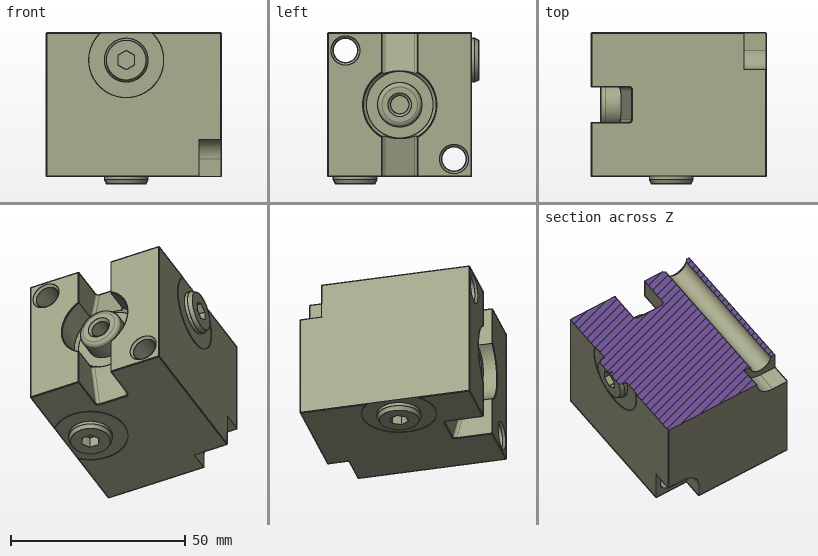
import cadquery as cq
import math

LENGTH = 50.3
SIDE = 41.3
EDGE_CHAMFER = 0.2
CENTER = SIDE / 2

HOLE_INSET = 5.1
HOLE_RADIUS = 3.45
HOLE_CHAMFER = 0.7

POCKET_LENGTH = 6.4
POCKET_RADIUS = 5.55
POCKET_SIDE = HOLE_INSET + POCKET_RADIUS

BORE_RADIUS = 10.45
BORE_DEPTH = 8.85
BORE_FLOOR_CHAMFER = 0.9
SLOT_WIDTH = 10.15
SLOT_END_DEPTH = 11.65
SLOT_FILLET = 0.9
SLOT_FLOOR_ANGLE = 15.5
BOSS_RADIUS = 6.4
BOSS_INSET = 2.75
BOSS_FILLET = 1.3
BOSS_HOLE_RADIUS = 2.6
BOSS_HOLE_CHAMFER = 0.75
BOSS_HOLE_DEPTH = 10.05

PLUG_X = 23.0
PLUG_OFFSET = 33.45
PLUG_RADIUS = 6.3
PLUG_TIP_RADIUS = 5.7
PLUG_HEIGHT = 2.0
PLUG_CONE_HEIGHT = 1.2
SPOTFACE_RADIUS = 10.75
SPOTFACE_DEPTH = EDGE_CHAMFER
HEX_FLATS = 4.8
HEX_DEPTH = 3.5


def central_cylinder(radius, start, end):
    """Cylinder on the block's X axis between two X positions."""
    return cq.Workplane("YZ", origin=(start, CENTER, CENTER)).circle(radius).extrude(end - start)


def chamfered_hole(radius, chamfer, start, end, y=CENTER, z=CENTER):
    """Cutter for a hole along +X with a 45 degree chamfer at its start."""
    profile = [
        (start, 0),
        (start, radius + chamfer),
        (start + chamfer, radius),
        (end, radius),
        (end, 0),
    ]
    return (
        cq.Workplane("XY", origin=(0, y, z))
        .polyline(profile)
        .close()
        .revolve(360, (0, 0, 0), (1, 0, 0))
    )


def make_slot():
    """Slot along Z whose floor rises from both ends towards the middle."""
    rise = CENTER * math.tan(math.radians(SLOT_FLOOR_ANGLE))
    profile = [
        (0, 0),
        (SLOT_END_DEPTH, 0),
        (SLOT_END_DEPTH - rise, CENTER),
        (SLOT_END_DEPTH, SIDE),
        (0, SIDE),
    ]
    return (
        cq.Workplane("XZ", origin=(0, CENTER + SLOT_WIDTH / 2, 0))
        .polyline(profile)
        .close()
        .extrude(SLOT_WIDTH)
        .edges("not (|X or |Y or |Z)")
        .fillet(SLOT_FILLET)
    )


def make_block():
    """Slotted block with its outer edges and the slot rims chamfered."""
    block = cq.Workplane("XY").box(LENGTH, SIDE, SIDE, centered=False)
    return block.cut(make_slot()).faces("<X or >X or <Z or >Z").edges().chamfer(EDGE_CHAMFER)


def make_bore():
    """Cutter for the round bore, with a chamfered rim and a chamfered floor edge."""
    bore = central_cylinder(BORE_RADIUS, 0, BORE_DEPTH).faces(">X").edges().chamfer(BORE_FLOOR_CHAMFER)
    return bore.union(chamfered_hole(BORE_RADIUS, EDGE_CHAMFER, 0, 2 * EDGE_CHAMFER))


def make_boss():
    """Rounded boss on the bore floor, reaching into the body behind it."""
    return central_cylinder(BOSS_RADIUS, BOSS_INSET, SLOT_END_DEPTH).faces("<X").edges().fillet(BOSS_FILLET)


def make_corner_pocket(low, inner_edge):
    """Square pocket at the +X end, rounded on the edge nearest the block axis."""
    return (
        cq.Workplane("XY", origin=(LENGTH - POCKET_LENGTH, low, low))
        .box(POCKET_LENGTH, POCKET_SIDE, POCKET_SIDE, centered=False)
        .edges(inner_edge)
        .fillet(POCKET_RADIUS)
    )


def add_plug(body, face):
    """Cut a spot face below the given outward-facing plane and fit a socket plug in it."""
    floor = face.workplane(offset=-SPOTFACE_DEPTH)
    body = body.cut(floor.circle(SPOTFACE_RADIUS).extrude(SPOTFACE_DEPTH))
    barrel = floor.circle(PLUG_RADIUS).extrude(SPOTFACE_DEPTH + PLUG_HEIGHT - PLUG_CONE_HEIGHT)
    tip = (
        face.workplane(offset=PLUG_HEIGHT - PLUG_CONE_HEIGHT)
        .circle(PLUG_RADIUS)
        .workplane(offset=PLUG_CONE_HEIGHT)
        .circle(PLUG_TIP_RADIUS)
        .loft()
    )
    hexagon = (
        face.workplane(offset=PLUG_HEIGHT)
        .polygon(6, HEX_FLATS, circumscribed=True)
        .extrude(-HEX_DEPTH)
    )
    return body.union(barrel).union(tip).cut(hexagon)


result = make_block().cut(make_bore()).union(make_boss())
result = result.cut(
    chamfered_hole(BOSS_HOLE_RADIUS, BOSS_HOLE_CHAMFER, BOSS_INSET, BOSS_INSET + BOSS_HOLE_DEPTH)
)

for low, hole_center, inner_edge in (
    (0, HOLE_INSET, ">Y and >Z"),
    (SIDE - POCKET_SIDE, SIDE - HOLE_INSET, "<Y and <Z"),
):
    result = result.cut(make_corner_pocket(low, inner_edge))
    result = result.cut(chamfered_hole(HOLE_RADIUS, HOLE_CHAMFER, 0, LENGTH, hole_center, hole_center))

result = add_plug(result, cq.Workplane("XZ", origin=(PLUG_X, 0, PLUG_OFFSET)))
result = add_plug(
    result,
    cq.Workplane(cq.Plane(origin=(PLUG_X, PLUG_OFFSET, 0), xDir=(1, 0, 0), normal=(0, 0, -1))),
)